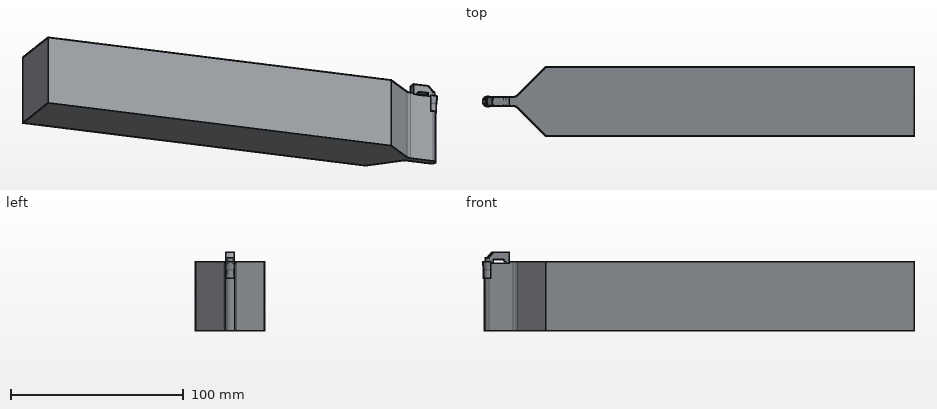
import cadquery as cq
import math

TOOL_LENGTH = 250.0
SHANK_SIZE = 40.0
SHOULDER_X = 36.5
BLADE_WIDTH = 5.2
BLADE_NOSE_X = 1.0
NECK_FILLET = 3.8

FINGER_WIDTH = 5.0
FINGER_TOP_Z = 45.5
FINGER_BACK_X = 15.5
SLOPE_TOP_X = 5.5
SLOPE_BOTTOM_X = 2.5
SLOPE_BULGE = 0.8
TIP_X = 1.5
TIP_TOP_Z = 42.2

WINDOW_FRONT_X = 6.2
WINDOW_ROOF_BACK_X = 12.0
WINDOW_FLOOR_BACK_X = 13.5
WINDOW_FLOOR_Z = 39.2
WINDOW_ROOF_Z = 41.2

CUTTING_RADIUS = 3.0
FOOT_RADIUS = 2.5
INSERT_BACK_X = 4.8
INSERT_BOTTOM_Z = 30.5
RELIEF_BOTTOM_Z = 35.2

blade_half = BLADE_WIDTH / 2
shank_half = SHANK_SIZE / 2
finger_half = FINGER_WIDTH / 2
neck_x = SHOULDER_X - (shank_half - blade_half)
blade_nose_center_x = BLADE_NOSE_X + blade_half
tip_center_x = TIP_X + finger_half
rake_z = SHANK_SIZE


def make_shank():
    """Shank, taper and blade, extruded upward from one plan outline."""
    shank = (
        cq.Workplane("XY")
        .moveTo(blade_nose_center_x, -blade_half)
        .lineTo(neck_x, -blade_half)
        .lineTo(SHOULDER_X, -shank_half)
        .lineTo(TOOL_LENGTH, -shank_half)
        .lineTo(TOOL_LENGTH, shank_half)
        .lineTo(SHOULDER_X, shank_half)
        .lineTo(neck_x, blade_half)
        .lineTo(blade_nose_center_x, blade_half)
        .threePointArc((BLADE_NOSE_X, 0), (blade_nose_center_x, -blade_half))
        .close()
        .extrude(SHANK_SIZE)
    )
    for side in (-1, 1):
        neck_point = (neck_x, side * blade_half, SHANK_SIZE / 2)
        shank = shank.edges(cq.selectors.NearestToPointSelector(neck_point)).fillet(NECK_FILLET)
    return shank


def block(start_x, end_x, width, bottom_z, top_z):
    """Box between two X and two Z positions, centred on the XZ plane."""
    return (
        cq.Workplane("XY", origin=(start_x, 0, bottom_z))
        .box(end_x - start_x, width, top_z - bottom_z, centered=(False, True, False))
    )


def make_finger():
    """Round-nosed tip, and behind it a body whose sloped front bulges across its width."""
    tip = (
        cq.Workplane("XY", origin=(0, 0, rake_z))
        .moveTo(tip_center_x, -finger_half)
        .lineTo(WINDOW_FRONT_X, -finger_half)
        .lineTo(WINDOW_FRONT_X, finger_half)
        .lineTo(tip_center_x, finger_half)
        .threePointArc((TIP_X, 0), (tip_center_x, -finger_half))
        .close()
        .extrude(TIP_TOP_Z - rake_z)
    )

    slope_rise = FINGER_TOP_Z - TIP_TOP_Z
    slope_run = SLOPE_TOP_X - SLOPE_BOTTOM_X
    side_x = SLOPE_BOTTOM_X + SLOPE_BULGE
    sloped_front = (
        cq.Workplane("XY", origin=(0, 0, TIP_TOP_Z))
        .moveTo(side_x, -finger_half)
        .lineTo(FINGER_BACK_X, -finger_half)
        .lineTo(FINGER_BACK_X, finger_half)
        .lineTo(side_x, finger_half)
        .threePointArc((SLOPE_BOTTOM_X, 0), (side_x, -finger_half))
        .close()
        .sweep(cq.Workplane("XZ").moveTo(SLOPE_BOTTOM_X, TIP_TOP_Z).line(slope_run, slope_rise))
    )
    upper_body = sloped_front.intersect(
        block(SLOPE_BOTTOM_X, FINGER_BACK_X, FINGER_WIDTH, TIP_TOP_Z, FINGER_TOP_Z)
    )
    lower_body = block(WINDOW_FRONT_X, FINGER_BACK_X, FINGER_WIDTH, WINDOW_FLOOR_Z, TIP_TOP_Z)
    neck = block(INSERT_BACK_X, WINDOW_FRONT_X, FINGER_WIDTH, WINDOW_FLOOR_Z, rake_z)
    return upper_body.union(lower_body).union(tip).union(neck)


def make_window():
    return (
        cq.Workplane("XZ")
        .moveTo(WINDOW_FRONT_X, WINDOW_FLOOR_Z)
        .lineTo(WINDOW_FLOOR_BACK_X, WINDOW_FLOOR_Z)
        .lineTo(WINDOW_ROOF_BACK_X, WINDOW_ROOF_Z)
        .lineTo(WINDOW_FRONT_X, WINDOW_ROOF_Z)
        .close()
        .extrude(BLADE_WIDTH, both=True)
    )


def make_holder():
    insert_seat = block(0, INSERT_BACK_X, SHANK_SIZE, INSERT_BOTTOM_Z, rake_z)
    finger_seat = block(0, FINGER_BACK_X, SHANK_SIZE, WINDOW_FLOOR_Z, rake_z)
    shank = make_shank().cut(insert_seat).cut(finger_seat)
    return shank.union(make_finger()).cut(make_window())


def make_insert():
    foot = (
        cq.Workplane("XY", origin=(CUTTING_RADIUS, 0, INSERT_BOTTOM_Z))
        .circle(FOOT_RADIUS)
        .extrude(RELIEF_BOTTOM_Z - INSERT_BOTTOM_Z)
    )
    relief_height = rake_z - RELIEF_BOTTOM_Z
    relief_angle = math.degrees(math.atan2(CUTTING_RADIUS - FOOT_RADIUS, relief_height))
    head = (
        cq.Workplane("XY", origin=(CUTTING_RADIUS, 0, RELIEF_BOTTOM_Z))
        .circle(FOOT_RADIUS)
        .extrude(relief_height, taper=-relief_angle)
    )
    flat_back = block(0, INSERT_BACK_X, 2 * CUTTING_RADIUS, INSERT_BOTTOM_Z, rake_z)
    return foot.union(head).intersect(flat_back)


holder = make_holder()
insert = make_insert()
result = cq.Compound.makeCompound([holder.solids().val(), insert.solids().val()])